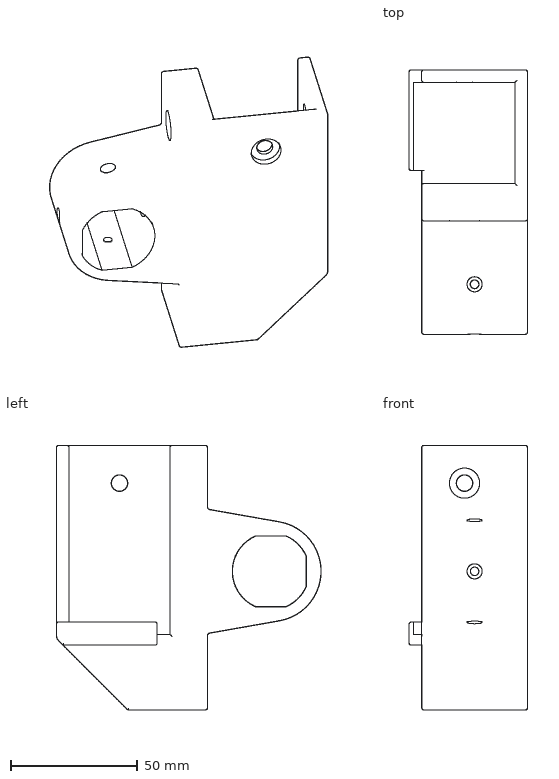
import cadquery as cq
import math


width = 42.0
length = 105.0
height = 105.0
block_length = 60.0
bore_height = 55.0
nose_radius = 20.0
back_y = length - nose_radius
front_y = back_y - block_length
bottom_z = -bore_height
top_z = height - bore_height
nose_slope = 10.0
back_bevel = 28.4
bevel_round = 3.0
edge_round = 1.0

wall = 5.0
pocket_length = 40.0
floor_height = 30.0
floor_z = bottom_z + floor_height
pocket_back_y = back_y - wall
pocket_front_y = pocket_back_y - pocket_length
pocket_right_x = width - wall

lip_reach = 5.0
lip_thickness = 1.8
lip_length = 40.0
lip_rise = 4.9
lip_drop = 4.3
lip_root = edge_round
lip_front_y = back_y - lip_length

bore_diameter = 30.5
flat_distance = 14.0

mount_screw = 6.4
mount_head = 12.0
ledge = 2.0
mount_x = 17.0
mount_y = (pocket_front_y + pocket_back_y) / 2
mount_height = 90.0
mount_z = bottom_z + mount_height

set_screw = 3.4
set_screw_head = 6.0
head_seat = 16.0
cross_x = width / 2


def box(x_range, y_range, z_range):
    """Axis-aligned box between two limits along each axis."""
    corner = (x_range[0], y_range[0], z_range[0])
    size = [high - low for low, high in (x_range, y_range, z_range)]
    return cq.Workplane("XY").box(*size, centered=False).translate(corner)


def rod(diameter, start, end):
    """Cylinder between two points."""
    axis = cq.Vector(*end) - cq.Vector(*start)
    return cq.Workplane(cq.Solid.makeCylinder(diameter / 2, axis.Length, cq.Vector(*start), axis))


def side_block(x_start, x_end):
    """Side outline of the part, extruded along X, with its three rounded corners."""
    slope = math.radians(nose_slope)
    tangent_y = -nose_radius * math.sin(slope)
    tangent_z = nose_radius * math.cos(slope)
    root_z = tangent_z + (front_y - tangent_y) * math.tan(slope)
    bevel_top_z = bottom_z + back_bevel
    block = (
        cq.Workplane("YZ", origin=(x_start, 0, 0))
        .moveTo(back_y, top_z)
        .lineTo(front_y, top_z)
        .lineTo(front_y, root_z)
        .lineTo(tangent_y, tangent_z)
        .threePointArc((-nose_radius, 0), (tangent_y, -tangent_z))
        .lineTo(front_y, -root_z)
        .lineTo(front_y, bottom_z)
        .lineTo(back_y - back_bevel, bottom_z)
        .lineTo(back_y, bevel_top_z)
        .close()
        .extrude(x_end - x_start)
    )
    middle_x = (x_start + x_end) / 2
    for root in (root_z, -root_z):
        block = block.edges(cq.NearestToPointSelector((middle_x, front_y, root))).fillet(edge_round)
    return block.edges(cq.NearestToPointSelector((middle_x, back_y, bevel_top_z))).fillet(bevel_round)


def pocketed_body():
    """Main body with its pocket and all outer edges rounded."""
    pocket = box((0, pocket_right_x), (pocket_front_y, pocket_back_y), (floor_z, top_z))
    body = side_block(0, width).cut(pocket)
    rims = body.faces("<X or >X or >Z").edges()
    return rims.add(body.faces("<Z").edges("<Y")).fillet(edge_round)


def lip():
    """Lip rooted in the left side of the body, following the back bevel."""
    blank = box(
        (-lip_reach, lip_root),
        (lip_front_y, back_y),
        (floor_z - lip_drop, floor_z + lip_rise),
    )
    block = side_block(-lip_reach, lip_root).intersect(blank)
    outer = block.faces("<X").edges()
    return outer.add(block.faces("<Y").edges("|X")).add(block.faces(">Z").edges(">Y")).fillet(edge_round)


def lip_channel():
    """Space that carries the pocket floor out to the inner side of the lip."""
    return box(
        (lip_thickness - lip_reach, pocket_right_x),
        (pocket_front_y, pocket_back_y),
        (floor_z, floor_z + lip_rise),
    )


def bore():
    """Round bore with flats at its top, bottom and front."""
    radius = bore_diameter / 2
    flats = box((0, width), (-flat_distance, radius), (-flat_distance, flat_distance))
    return rod(bore_diameter, (0, 0, 0), (width, 0, 0)).intersect(flats)


def mount_hole(start, outward, depth):
    """Screw hole leading out of the pocket, counterbored down to a thin ledge."""
    start = cq.Vector(*start)
    outward = cq.Vector(*outward)
    end = start + outward * depth
    seat = start + outward * ledge
    return rod(mount_screw, start, end).union(rod(mount_head, seat, end))


def set_screw_hole(y, z):
    """Stepped hole from the bore axis out through the nose along (y, z)."""
    outside = (cross_x, y * front_y, z * front_y)
    seat = (cross_x, y * head_seat, z * head_seat)
    return rod(set_screw, (cross_x, 0, 0), outside).union(rod(set_screw_head, seat, outside))


result = pocketed_body().union(lip()).cut(lip_channel()).cut(bore())

mounts = [
    ((mount_x, pocket_back_y, mount_z), (0, 1, 0), wall),
    ((pocket_right_x, mount_y, mount_z), (1, 0, 0), wall),
    ((mount_x, pocket_front_y, mount_z), (0, -1, 0), pocket_front_y - front_y),
]
for start, outward, depth in mounts:
    result = result.cut(mount_hole(start, outward, depth))

result = result.cut(rod(mount_head, (mount_x, 0, 0), (mount_x, pocket_front_y, 0)))

for y, z in ((0, 1), (0, -1), (-1, 0)):
    result = result.cut(set_screw_hole(y, z))